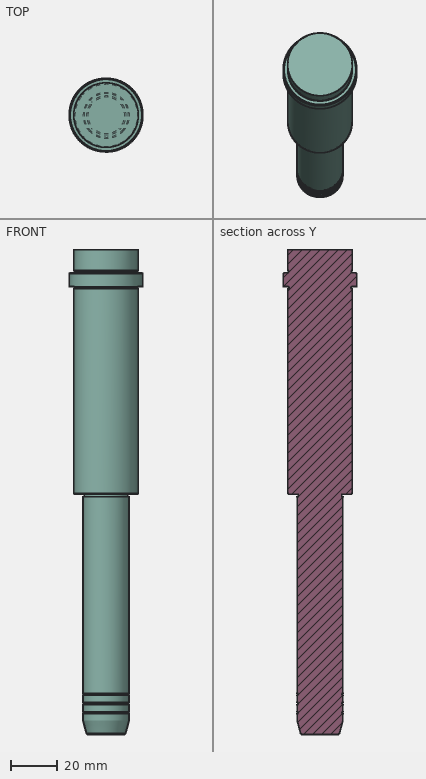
import math

import cadquery as cq

total_length = 210.0
body_radius = 14.0
flange_radius = 16.0
shaft_radius = 10.0

head_height = 10.0
flange_height = 6.0
flange_top = total_length - head_height
flange_bottom = flange_top - flange_height
body_bottom = 104.0

flange_chamfer = 0.5
body_chamfer = 0.5
tip_chamfer = 0.5

groove_width = 1.0
groove_depth = 0.5

undercut_width = 1.0
undercut_depth = 0.5

tip_length = 6.0
tip_angle = 15.0
tip_end_radius = shaft_radius - tip_length * math.tan(math.radians(tip_angle))

groove_count = 3
groove_pitch = 4.0
first_groove_height = 9.5


def revolve_profile(points):
    """Revolve a closed (radius, height) outline about Z, starting on the -X side."""
    outline = [(-radius, height) for radius, height in points]
    return cq.Workplane("XZ").polyline(outline).close().revolve(360, (0, 0), (0, 1))


def cylinder(radius, bottom, top):
    """Solid cylinder on the Z axis between two heights."""
    return revolve_profile([(0, bottom), (radius, bottom), (radius, top), (0, top)])


def undercut_ring():
    """Square-section ring removed from the shaft directly below the body."""
    floor = shaft_radius - undercut_depth
    bottom = body_bottom - undercut_width
    return revolve_profile(
        [(floor, bottom), (shaft_radius, bottom), (shaft_radius, body_bottom), (floor, body_bottom)]
    )


def v_groove(radius, center):
    """Ring that cuts a V-section groove into a cylinder of the given radius."""
    half_width = groove_width / 2
    return revolve_profile(
        [(radius, center - half_width), (radius - groove_depth, center), (radius, center + half_width)]
    )


def make_body():
    """Upper cylinder with a chamfered lower edge and V reliefs beside the flange."""
    body = cylinder(body_radius, body_bottom, total_length).faces("<Z").chamfer(body_chamfer)
    for center in (flange_top + groove_width / 2, flange_bottom - groove_width / 2):
        body = body.cut(v_groove(body_radius, center))
    return body


def make_flange():
    """Collar with its upper rim chamfered."""
    return cylinder(flange_radius, flange_bottom, flange_top).faces(">Z").chamfer(flange_chamfer)


def make_shaft():
    """Guide shaft with a tapered tip, an undercut below the body and V grooves."""
    shaft = revolve_profile(
        [
            (0, 0),
            (tip_end_radius, 0),
            (shaft_radius, tip_length),
            (shaft_radius, body_bottom),
            (0, body_bottom),
        ]
    )
    shaft = shaft.faces("<Z").chamfer(tip_chamfer)
    shaft = shaft.cut(undercut_ring())
    for index in range(groove_count):
        center = first_groove_height + index * groove_pitch
        shaft = shaft.cut(v_groove(shaft_radius, center))
    return shaft


result = make_body().union(make_flange()).union(make_shaft())